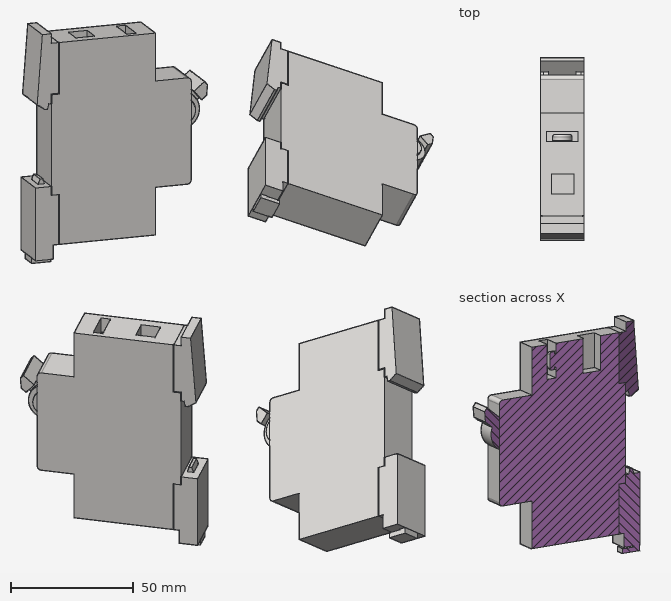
import cadquery as cq
import math


module_width = 17.8
total_height = 98.1

base_bottom = 8.4
base_top = 94.1
shoulder_y = 52.0
nose_y = 67.5
nose_bottom = 28.6
nose_top = 73.8
nose_round = 1.8

rail_face_y = 6.9
seat_y = 10.0
hook_seat_z = 72.5
foot_seat_z = 29.6

hook_top_depth = 3.9
hook_front_y = 0.7
hook_front_z = 68.5
hook_lip_z = 66.2
hook_lip_rear_y = 5.2
hook_lip_front_y = 4.0
hook_lip_start_y = 5.7

foot_top = 33.4
foot_bottom = 2.5
foot_heel_y = 7.75
tab_length = 8.4
tab_gap = 0.3
tab_setback = 0.1
tab_stem_y = 2.9
latch_width = 7.8
catch_height = 2.2
catch_base_rear_y = 5.6
catch_top_rear_y = 5.0
catch_top_front_y = 3.7
catch_base_front_y = 2.8

groove_width = 0.3
groove_depth = 0.6

slot_length = 12.8
slot_width = 4.0
slot_y = 42.5
slot_depth = 14.7
well_length = 9.0
well_width = 8.1
well_x = 0.2
well_y = 23.1
well_depth = 14.7

screw_radius = 3.9
screw_reach = 2.8
screw_round = 1.0
screw_gap = 0.3
screw_shank_radius = 2.9
screw_z = base_top - slot_depth / 2

pivot_y = 63.7
pivot_z = 59.8
lever_angle = 40.0
hub_radius = 7.8
hub_width = 15.3
hub_end_radius = 5.7
neck_width = 11.2
blade_start = 9.0
blade_tip = 14.9
blade_under_end = 11.8
blade_upper = 2.8
blade_tip_under = 0.8
blade_under = -2.4


def side_profile(points, width):
    """Prism across X, centred on X = 0, from an outline of (Y, Z) points."""
    return cq.Workplane("YZ").polyline(points).close().extrude(width / 2, both=True)


def pivot_disc(radius, width):
    """Disc around the lever pivot, centred on X = 0."""
    return cq.Workplane("YZ").center(pivot_y, pivot_z).circle(radius).extrude(width / 2, both=True)


def pocket(length, width, x, y, depth):
    """Rectangular cutter going down from the housing top."""
    return cq.Workplane("XY", origin=(x, y, base_top)).rect(length, width).extrude(-depth)


def side_groove(y_range, z_range):
    """Pair of shallow cutters, one in each side face, over the given Y and Z ranges."""
    y_low, y_high = y_range
    z_low, z_high = z_range
    full = side_profile(
        [(y_low, z_low), (y_high, z_low), (y_high, z_high), (y_low, z_high)],
        module_width,
    )
    core_width = module_width - 2 * groove_depth
    core = cq.Workplane("XY").box(core_width, 2 * total_height, 2 * total_height)
    return full.cut(core)


def make_housing():
    body = side_profile(
        [
            (seat_y, base_bottom),
            (shoulder_y, base_bottom),
            (shoulder_y, nose_bottom),
            (nose_y, nose_bottom),
            (nose_y, nose_top),
            (shoulder_y, nose_top),
            (shoulder_y, base_top),
            (seat_y, base_top),
            (seat_y, hook_seat_z),
            (rail_face_y, hook_seat_z),
            (rail_face_y, foot_seat_z),
            (seat_y, foot_seat_z),
        ],
        module_width,
    )
    body = body.faces(">Y").edges("|X").fillet(nose_round)

    rail_groove_y = (rail_face_y, rail_face_y + groove_width)
    seat_groove_y = (seat_y, seat_y + groove_width)
    ledge_groove_y = (rail_face_y, seat_y + groove_width)
    body = body.cut(side_groove(seat_groove_y, (hook_seat_z - groove_width, base_top)))
    body = body.cut(side_groove(ledge_groove_y, (hook_seat_z - groove_width, hook_seat_z)))
    body = body.cut(side_groove(rail_groove_y, (hook_front_z, hook_seat_z)))
    body = body.cut(side_groove(rail_groove_y, (foot_seat_z, foot_top)))
    body = body.cut(side_groove(seat_groove_y, (base_bottom, foot_seat_z)))

    body = body.cut(pocket(slot_length, slot_width, 0, slot_y, slot_depth))
    body = body.cut(pocket(well_length, well_width, well_x, well_y, well_depth))
    return body.union(make_screw_head())


def make_screw_head():
    wall_y = slot_y - slot_width / 2
    head_plane = cq.Workplane("XZ", origin=(0, wall_y + screw_gap, screw_z))
    head = head_plane.circle(screw_radius).extrude(screw_gap - screw_reach)
    head = head.faces(">Y").edges().fillet(screw_round)
    shank = cq.Workplane("XZ", origin=(0, wall_y, screw_z)).circle(screw_shank_radius).extrude(-screw_reach / 2)
    return head.union(shank)


def make_rail_hook():
    return side_profile(
        [
            (seat_y, base_top),
            (rail_face_y, base_top),
            (rail_face_y, total_height),
            (rail_face_y - hook_top_depth, total_height),
            (hook_front_y, hook_front_z),
            (hook_lip_front_y, hook_lip_z),
            (hook_lip_rear_y, hook_lip_z),
            (hook_lip_start_y, hook_front_z),
            (rail_face_y, hook_front_z),
            (rail_face_y, hook_seat_z),
            (seat_y, hook_seat_z),
        ],
        module_width,
    )


def make_rail_foot():
    block = side_profile(
        [
            (0, foot_bottom),
            (foot_heel_y, foot_bottom),
            (foot_heel_y, base_bottom),
            (seat_y, base_bottom),
            (seat_y, foot_seat_z),
            (rail_face_y, foot_seat_z),
            (rail_face_y, foot_top),
            (0, foot_top),
        ],
        module_width,
    )
    catch = side_profile(
        [
            (catch_base_rear_y, foot_top),
            (catch_top_rear_y, foot_top + catch_height),
            (catch_top_front_y, foot_top + catch_height),
            (catch_base_front_y, foot_top),
        ],
        latch_width,
    )
    tab_top = foot_bottom - tab_gap
    pull_tab = side_profile(
        [
            (tab_setback, 0),
            (tab_length, 0),
            (tab_length, tab_top),
            (tab_stem_y, tab_top),
            (tab_stem_y, foot_bottom),
            (tab_setback, foot_bottom),
        ],
        latch_width,
    )
    return block.union(catch).union(pull_tab)


def lever_point(out, up):
    """(Y, Z) of a point given along and across the tilted lever."""
    tilt = math.radians(lever_angle)
    y = pivot_y + out * math.cos(tilt) - up * math.sin(tilt)
    z = pivot_z + out * math.sin(tilt) + up * math.cos(tilt)
    return (y, z)


def make_lever():
    blade = side_profile(
        [
            lever_point(blade_start, blade_upper),
            lever_point(blade_tip, blade_upper),
            lever_point(blade_tip, blade_tip_under),
            lever_point(blade_under_end, blade_under),
            lever_point(blade_start, blade_under),
        ],
        module_width,
    )
    neck = side_profile(
        [
            lever_point(0, blade_upper),
            lever_point(blade_start, blade_upper),
            lever_point(blade_start, blade_under),
            lever_point(0, blade_under),
        ],
        neck_width,
    )
    hub = pivot_disc(hub_radius, hub_width).union(pivot_disc(hub_end_radius, module_width))
    whole = hub.union(neck).union(blade)

    behind_nose = side_profile(
        [(0, 0), (nose_y, 0), (nose_y, total_height), (0, total_height)],
        2 * module_width,
    )
    return whole.cut(behind_nose)


housing = make_housing()
lever = make_lever()
rail_hook = make_rail_hook()
rail_foot = make_rail_foot()

result = cq.Compound.makeCompound([housing.val(), lever.val(), rail_hook.val(), rail_foot.val()])